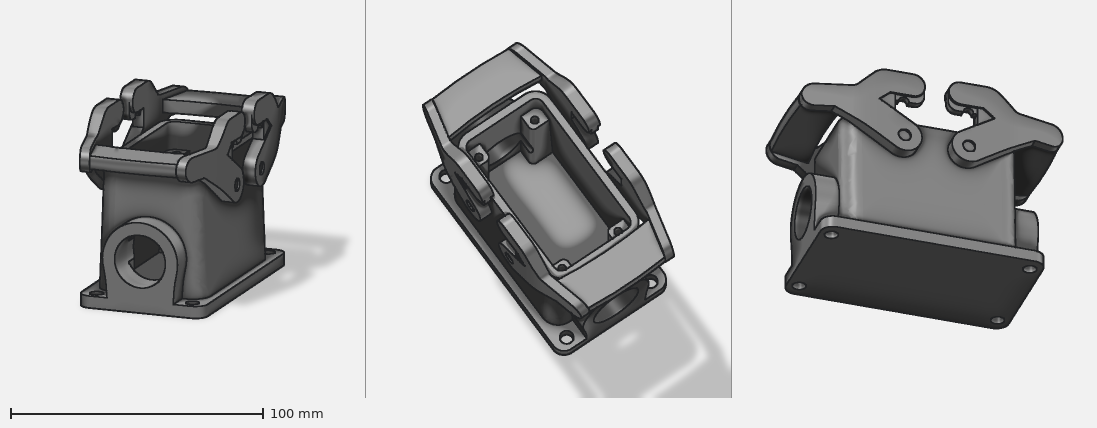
import cadquery as cq
import math

BASE_WIDTH = 53.5
BASE_LENGTH = 92.8
BASE_THICKNESS = 5.0
BASE_CORNER = 5.2
MOUNT_HOLE_DIAMETER = 5.5
MOUNT_HOLE_X = 20.4
MOUNT_HOLE_Y = 41.4

BOX_FOOT_WIDTH = 46.6
BOX_RIM_WIDTH = 43.1
BOX_FOOT_LENGTH = 73.3
BOX_RIM_LENGTH = 73.0
BOX_CORNER = 7.5
RIM_HEIGHT = 5.5
RIM_Z = 57.1
WALL_X = 3.4
WALL_Y = 3.4
CAVITY_CORNER = 3.5
BAND_Z = RIM_Z - RIM_HEIGHT

POST_SIZE_X = 8.2
POST_SIZE_Y = 7.7
POST_CORNER = 2.2
POST_TOP_Z = 45.6
SCREW_HOLE_DIAMETER = 3.2
SCREW_HOLE_DEPTH = 11.0
SCREW_X = 13.5
SCREW_Y = 28.6

ENTRY_Z = 21.1
ENTRY_RADIUS = 16.0
ENTRY_BORE_RADIUS = 10.8
NECK_START_Z = 17.6

PIVOT_Y = 13.4
PIVOT_Z = 47.2
PIN_DIAMETER = 4.4
PIN_RECESS_DIAMETER = 5.2
PIN_RECESS_DEPTH = 0.9

PLATE_INNER_X = 23.1
PLATE_OUTER_X = 28.5
SKIN_THICKNESS = 0.7
PIVOT_EYE_RADIUS = 7.2
LEVER_TOP_Z = 76.0
HOOK_TIP_Y = 5.0
HOOK_RADIUS = 5.1
HOOK_ROOT_Y = 19.4
MOUTH_Y = 17.2
MOUTH_CORNER_Y = 24.0
MOUTH_CORNER_Z = 62.0
SHOULDER_TOP_Y = 23.8
SHOULDER_TOP_RADIUS = 8.0
SHOULDER_FOOT_Y = 33.5
SHOULDER_FOOT_RADIUS = 3.8
GRIP_UNDERSIDE_Y = 41.8
GRIP_Z = 61.8
GRIP_RADIUS = 5.1
GRIP_END_Y = 54.5
TOOTH_BOTTOM_Z = 63.1
TOOTH_CORNER = 3.7
TOOTH_INNER_INSET = 1.4
TOOTH_OUTER_INSET = 1.0
NOTCH_RADIUS = 2.1

BEND_START_Y = 25.3
BEND_END_Y = 34.4
BEND_ANGLE = 13.7
ARM_THICKNESS = 4.2

BAR_INNER_Y = 38.2
BAR_BOW_RADIUS = 209.0
BAR_END_Y = 55.0
BAR_THICKNESS = 5.4
BAR_EDGE_RADIUS = 6.6


def rounded_loft(z_low, size_low, z_high, size_high, corner):
    """Solid between two rounded rectangles of equal corner radius at two heights."""
    low = cq.Sketch().rect(*size_low).vertices().fillet(corner)
    high = cq.Sketch().rect(*size_high).vertices().fillet(corner)
    rise = cq.Location(cq.Vector(0, 0, z_high - z_low))
    return cq.Workplane("XY", origin=(0, 0, z_low)).placeSketch(low, high.moved(rise)).loft(ruled=True)


def tapered_box(wall_x, wall_y, corner):
    """The box shape, inset by the given wall: tapered sides below, upright band above."""
    foot = (BOX_FOOT_WIDTH - 2 * wall_x, BOX_FOOT_LENGTH - 2 * wall_y)
    rim = (BOX_RIM_WIDTH - 2 * wall_x, BOX_RIM_LENGTH - 2 * wall_y)
    sides = rounded_loft(BASE_THICKNESS, foot, BAND_Z, rim, corner)
    band = rounded_loft(BAND_Z, rim, RIM_Z, rim, corner)
    return sides.union(band)


def base_flange():
    flange = (
        cq.Workplane("XY")
        .rect(BASE_WIDTH, BASE_LENGTH)
        .extrude(BASE_THICKNESS)
        .edges("|Z")
        .fillet(BASE_CORNER)
    )
    holes = (
        cq.Workplane("XY")
        .rect(2 * MOUNT_HOLE_X, 2 * MOUNT_HOLE_Y, forConstruction=True)
        .vertices()
        .circle(MOUNT_HOLE_DIAMETER / 2)
        .extrude(BASE_THICKNESS)
    )
    return flange.cut(holes)


def entry_bosses():
    """Round boss running the whole length, drawn in by a concave neck that meets the flange upright."""
    start_angle = math.asin((ENTRY_Z - NECK_START_Z) / ENTRY_RADIUS)
    neck_radius = (ENTRY_Z - BASE_THICKNESS) / math.sin(start_angle) - ENTRY_RADIUS
    neck_centre_x = (ENTRY_RADIUS + neck_radius) * math.cos(start_angle)
    start_x = ENTRY_RADIUS * math.cos(start_angle)
    foot_x = neck_centre_x - neck_radius
    middle_x = neck_centre_x - neck_radius * math.cos(start_angle / 2)
    middle_z = BASE_THICKNESS + neck_radius * math.sin(start_angle / 2)
    return (
        cq.Workplane("XZ")
        .moveTo(-foot_x, 0)
        .lineTo(-foot_x, BASE_THICKNESS)
        .threePointArc((-middle_x, middle_z), (-start_x, NECK_START_Z))
        .threePointArc((0, ENTRY_Z + ENTRY_RADIUS), (start_x, NECK_START_Z))
        .threePointArc((middle_x, middle_z), (foot_x, BASE_THICKNESS))
        .lineTo(foot_x, 0)
        .close()
        .extrude(BASE_LENGTH / 2, both=True)
    )


def entry_bore():
    return (
        cq.Workplane("XZ")
        .center(0, ENTRY_Z)
        .circle(ENTRY_BORE_RADIUS)
        .extrude(BASE_LENGTH / 2, both=True)
    )


def screw_posts(cavity):
    """Corner posts clipped to the cavity, each with a blind screw hole."""
    height = POST_TOP_Z - BASE_THICKNESS
    middle_z = BASE_THICKNESS + height / 2
    post_inner_x = BOX_RIM_WIDTH / 2 - WALL_X - POST_SIZE_X
    post_inner_y = BOX_RIM_LENGTH / 2 - WALL_Y - POST_SIZE_Y
    posts = cq.Workplane("XY")
    for side_x in (-1, 1):
        for side_y in (-1, 1):
            inner_edge = cq.NearestToPointSelector((side_x * post_inner_x, side_y * post_inner_y, middle_z))
            post = (
                cq.Workplane("XY", origin=(0, 0, BASE_THICKNESS))
                .moveTo(side_x * post_inner_x, side_y * post_inner_y)
                .lineTo(side_x * BOX_FOOT_WIDTH / 2, side_y * post_inner_y)
                .lineTo(side_x * BOX_FOOT_WIDTH / 2, side_y * BOX_FOOT_LENGTH / 2)
                .lineTo(side_x * post_inner_x, side_y * BOX_FOOT_LENGTH / 2)
                .close()
                .extrude(height)
                .edges(inner_edge)
                .fillet(POST_CORNER)
            )
            posts = posts.add(post.intersect(cavity))
    screw_holes = (
        cq.Workplane("XY", origin=(0, 0, POST_TOP_Z))
        .rect(2 * SCREW_X, 2 * SCREW_Y, forConstruction=True)
        .vertices()
        .circle(SCREW_HOLE_DIAMETER / 2)
        .extrude(-SCREW_HOLE_DEPTH)
    )
    return posts.combine().cut(screw_holes)


def make_housing():
    cavity = tapered_box(WALL_X, WALL_Y, CAVITY_CORNER)
    housing = base_flange().union(entry_bosses()).union(tapered_box(0, 0, BOX_CORNER))
    return housing.cut(cavity).union(screw_posts(cavity)).cut(entry_bore())


def eye_tangent(y, z, side):
    """Point where the line from (y, z) touches the pivot eye; side is +1 above or -1 below."""
    reach = math.hypot(y - PIVOT_Y, z - PIVOT_Z)
    angle = math.atan2(z - PIVOT_Z, y - PIVOT_Y) + side * math.acos(PIVOT_EYE_RADIUS / reach)
    return PIVOT_Y + PIVOT_EYE_RADIUS * math.cos(angle), PIVOT_Z + PIVOT_EYE_RADIUS * math.sin(angle)


def plate_profile(mouth):
    """Closed side outline of a lever; `mouth` lists the points between hook and pivot eye."""
    grip_top_z = GRIP_Z + GRIP_RADIUS
    grip_low_z = GRIP_Z - GRIP_RADIUS
    hook_z = LEVER_TOP_Z - HOOK_RADIUS
    outline = (
        cq.Workplane("YZ")
        .moveTo(HOOK_TIP_Y + HOOK_RADIUS, LEVER_TOP_Z)
        .threePointArc((HOOK_TIP_Y, hook_z), (HOOK_TIP_Y + HOOK_RADIUS, hook_z - HOOK_RADIUS))
    )
    for point in mouth:
        outline = outline.lineTo(*point)
    outline = (
        outline.lineTo(*eye_tangent(*mouth[-1], 1))
        .threePointArc(
            (PIVOT_Y - PIVOT_EYE_RADIUS, PIVOT_Z), eye_tangent(GRIP_UNDERSIDE_Y, grip_low_z, -1)
        )
        .lineTo(GRIP_UNDERSIDE_Y, grip_low_z)
        .lineTo(GRIP_END_Y - GRIP_RADIUS, grip_low_z)
        .threePointArc((GRIP_END_Y, GRIP_Z), (GRIP_END_Y - GRIP_RADIUS, grip_top_z))
        .lineTo(SHOULDER_FOOT_Y, grip_top_z)
        .lineTo(SHOULDER_TOP_Y, LEVER_TOP_Z)
        .close()
        .extrude(PLATE_OUTER_X)
    )
    shoulder_top = cq.NearestToPointSelector((PLATE_OUTER_X / 2, SHOULDER_TOP_Y, LEVER_TOP_Z))
    shoulder_foot = cq.NearestToPointSelector((PLATE_OUTER_X / 2, SHOULDER_FOOT_Y, grip_top_z))
    outline = outline.edges(shoulder_top).fillet(SHOULDER_TOP_RADIUS)
    return outline.edges(shoulder_foot).fillet(SHOULDER_FOOT_RADIUS)


def arm_x(y, depth):
    """X of the bent arm at `y`, at the given depth measured in X below its outer face."""
    bend = math.radians(BEND_ANGLE)
    face_x = PLATE_OUTER_X - (BEND_END_Y - BEND_START_Y) * math.tan(bend / 2)
    return face_x - (y - BEND_END_Y) * math.tan(bend) - depth


def plan_outline():
    """Side plate in plan: straight past the pivot, then bent inward towards the grip."""
    bend = math.radians(BEND_ANGLE)
    bend_radius = (BEND_END_Y - BEND_START_Y) / math.sin(bend)
    bend_middle = (
        PLATE_OUTER_X - bend_radius * (1 - math.cos(bend / 2)),
        BEND_START_Y + bend_radius * math.sin(bend / 2),
    )
    inner_bend_y = BEND_END_Y - (PLATE_INNER_X - arm_x(BEND_END_Y, ARM_THICKNESS)) / math.tan(bend)
    return (
        cq.Workplane("XY")
        .moveTo(PLATE_INNER_X, 0)
        .lineTo(PLATE_OUTER_X, 0)
        .lineTo(PLATE_OUTER_X, BEND_START_Y)
        .threePointArc(bend_middle, (arm_x(BEND_END_Y, 0), BEND_END_Y))
        .lineTo(arm_x(BAR_END_Y, 0), BAR_END_Y)
        .lineTo(arm_x(BAR_END_Y, ARM_THICKNESS), BAR_END_Y)
        .lineTo(PLATE_INNER_X, inner_bend_y)
        .close()
        .extrude(LEVER_TOP_Z)
    )


def hook_tooth():
    """Thin lip under the hook, notched where it grips a stud above the pivot."""
    lip_z = LEVER_TOP_Z - HOOK_RADIUS
    inner_x = PLATE_INNER_X + TOOTH_INNER_INSET
    tooth = (
        cq.Workplane("YZ", origin=(inner_x, 0, 0))
        .moveTo(HOOK_TIP_Y, lip_z)
        .lineTo(HOOK_TIP_Y, TOOTH_BOTTOM_Z + TOOTH_CORNER)
        .radiusArc((HOOK_TIP_Y + TOOTH_CORNER, TOOTH_BOTTOM_Z), -TOOTH_CORNER)
        .lineTo(HOOK_ROOT_Y, TOOTH_BOTTOM_Z)
        .lineTo(HOOK_ROOT_Y, lip_z)
        .close()
        .extrude(PLATE_OUTER_X - TOOTH_OUTER_INSET - inner_x)
    )
    notch = cq.Workplane("YZ").center(PIVOT_Y, TOOTH_BOTTOM_Z).circle(NOTCH_RADIUS).extrude(PLATE_OUTER_X)
    return tooth.cut(notch)


def pivot_pin():
    """Pin from the side plate to the box wall, ending on the drafted wall."""
    pin = cq.Workplane("YZ").center(PIVOT_Y, PIVOT_Z).circle(PIN_DIAMETER / 2).extrude(PLATE_INNER_X)
    return pin.cut(tapered_box(0, 0, BOX_CORNER))


def side_plate():
    """Lever plate on the +X side, with the recess in its outer skin beside the mouth."""
    hook_low_z = LEVER_TOP_Z - 2 * HOOK_RADIUS
    skin = plate_profile([(HOOK_ROOT_Y, hook_low_z), (MOUTH_CORNER_Y, MOUTH_CORNER_Z)])
    eye_y, eye_z = eye_tangent(MOUTH_CORNER_Y, MOUTH_CORNER_Z, 1)
    edge_slope = (MOUTH_CORNER_Z - eye_z) / (MOUTH_CORNER_Y - eye_y)
    mouth_low_z = MOUTH_CORNER_Z - edge_slope * (MOUTH_CORNER_Y - MOUTH_Y)
    recess_floor = (
        cq.Workplane("YZ")
        .polyline(
            [
                (MOUTH_Y, hook_low_z),
                (HOOK_ROOT_Y, hook_low_z),
                (MOUTH_CORNER_Y, MOUTH_CORNER_Z),
                (MOUTH_Y, mouth_low_z),
            ]
        )
        .close()
        .extrude(PLATE_OUTER_X - SKIN_THICKNESS)
    )
    plate = skin.union(recess_floor).intersect(plan_outline())
    pin_recess = (
        cq.Workplane("YZ", origin=(PLATE_OUTER_X, 0, 0))
        .center(PIVOT_Y, PIVOT_Z)
        .circle(PIN_RECESS_DIAMETER / 2)
        .extrude(-PIN_RECESS_DEPTH)
    )
    return plate.union(hook_tooth()).union(pivot_pin()).cut(pin_recess)


def handle_bar():
    """Flat bar with a crowned outer edge, bowed outward in plan and ending inside the side plates."""
    half_thickness = BAR_THICKNESS / 2
    crown = BAR_EDGE_RADIUS - math.sqrt(BAR_EDGE_RADIUS**2 - half_thickness**2)
    bow_centre_y = BAR_END_Y - BAR_BOW_RADIUS
    ring = (
        cq.Workplane("YZ", origin=(0, 0, GRIP_Z))
        .moveTo(BAR_INNER_Y, -half_thickness)
        .lineTo(BAR_END_Y - crown, -half_thickness)
        .threePointArc((BAR_END_Y, 0), (BAR_END_Y - crown, half_thickness))
        .lineTo(BAR_INNER_Y, half_thickness)
        .close()
        .revolve(360, (bow_centre_y, 0, 0), (bow_centre_y, 1, 0))
    )
    half_inner = arm_x(BEND_END_Y, ARM_THICKNESS / 2)
    half_outer = arm_x(BAR_END_Y, ARM_THICKNESS / 2)
    space_between_plates = (
        cq.Workplane("XY")
        .polyline(
            [
                (-half_inner, BEND_END_Y),
                (half_inner, BEND_END_Y),
                (half_outer, BAR_END_Y),
                (-half_outer, BAR_END_Y),
            ]
        )
        .close()
        .extrude(LEVER_TOP_Z)
    )
    return ring.intersect(space_between_plates)


def make_lever():
    """Lever on the +Y side: two mirrored side plates joined by the handle bar."""
    plate = side_plate()
    return plate.union(plate.mirror("YZ")).union(handle_bar())


lever = make_lever()
fixed_lever = lever.mirror("XZ")

housing = make_housing().union(fixed_lever)

result = cq.Compound.makeCompound([housing.val(), lever.val()])